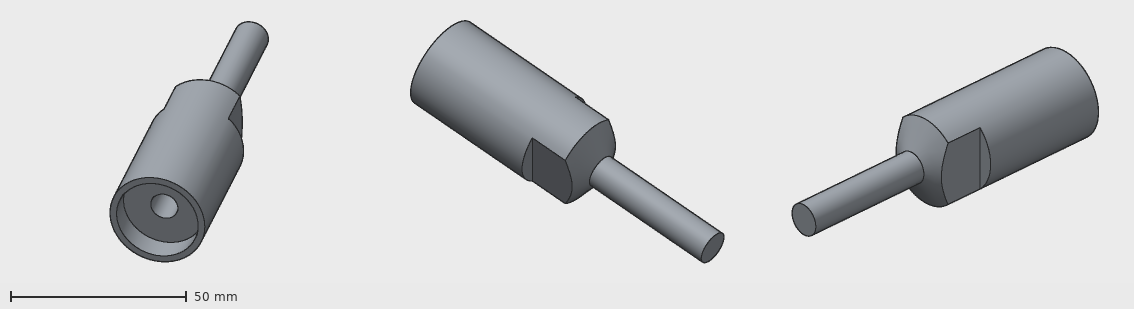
import cadquery as cq
import math

total_length = 101.0
flat_start = 41.7
cone_start = 54.0

body_diameter = 28.0
shank_diameter = 10.0
recess_diameter = 24.0
hole_diameter = 8.0
flat_width = 19.0

recess_depth = 7.5
hole_depth = 20.2
drill_point_angle = 118.0
cone_face_angle = 30.0

body_radius = body_diameter / 2
shank_radius = shank_diameter / 2
recess_radius = recess_diameter / 2
hole_radius = hole_diameter / 2
cone_end = cone_start + (body_radius - shank_radius) * math.tan(math.radians(cone_face_angle))
hole_bottom = recess_depth + hole_depth
hole_tip = hole_bottom + hole_radius / math.tan(math.radians(drill_point_angle / 2))


def revolve_about_y(points):
    """Revolve a closed (radius, y) outline around the Y axis."""
    return cq.Workplane("XY").polyline(points).close().revolve(360, (0, 0, 0), (0, 1, 0))


def make_turned_body():
    """Cylindrical body with a conical shoulder running down to the shank."""
    return revolve_about_y([
        (0, 0),
        (body_radius, 0),
        (body_radius, cone_start),
        (shank_radius, cone_end),
        (shank_radius, total_length),
        (0, total_length),
    ])


def make_bore():
    """Shallow recess followed by a blind drilled hole with a pointed bottom."""
    return revolve_about_y([
        (0, 0),
        (recess_radius, 0),
        (recess_radius, recess_depth),
        (hole_radius, recess_depth),
        (hole_radius, hole_bottom),
        (0, hole_tip),
    ])


def make_flat_cutter(side):
    """Block that removes the body outside one wrench flat (side is -1 or 1)."""
    block_width = body_radius
    block_length = cone_end - flat_start
    return cq.Workplane("XY").box(block_width, block_length, body_diameter).translate(
        (side * (flat_width + block_width) / 2, flat_start + block_length / 2, 0)
    )


result = make_turned_body().cut(make_bore())
for side in (-1, 1):
    result = result.cut(make_flat_cutter(side))